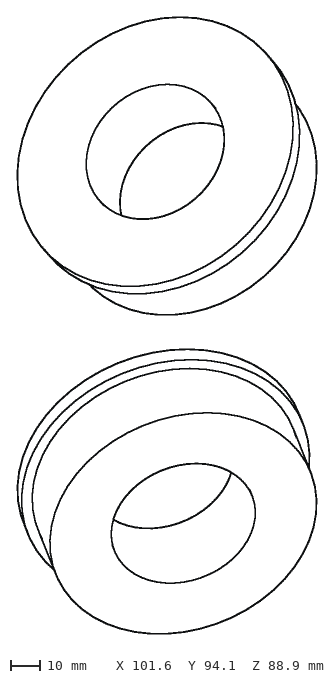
import cadquery as cq

flange_diameter = 101.6
body_diameter = 94.1
bore_diameter = 50.8
total_length = 31.7
flange_thickness = 6.1
tilt_angle = 41.8

body_length = total_length - flange_thickness

body = cq.Workplane("XY").circle(body_diameter / 2).extrude(body_length)
flange = (
    cq.Workplane("XY")
    .workplane(offset=body_length)
    .circle(flange_diameter / 2)
    .extrude(flange_thickness)
)

bore = cq.Workplane("XY").circle(bore_diameter / 2).extrude(total_length)
bushing = body.union(flange).cut(bore)

result = bushing.rotate((0, 0, 0), (1, 0, 0), tilt_angle)